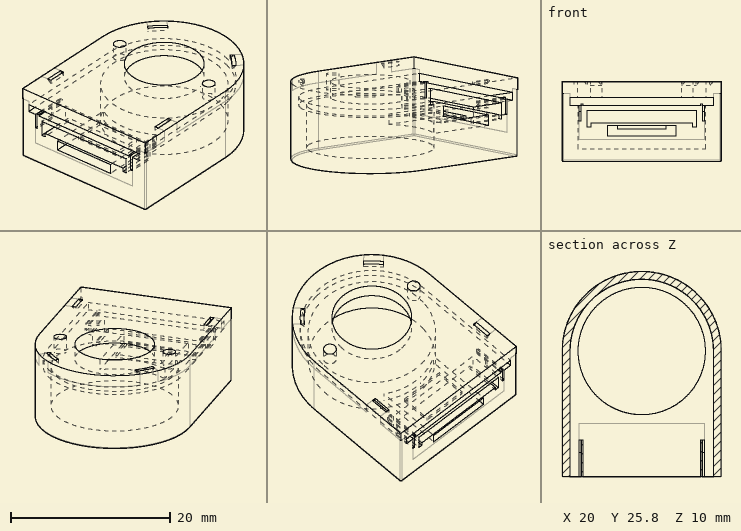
import cadquery as cq

LENGTH = 25.8
WIDTH = 20.0
HEIGHT = 10.0
END_RADIUS = WIDTH / 2
FRONT_Y = END_RADIUS - LENGTH
OVERSHOOT = 0.25

WALL = 1.0
EDGE_FILLET = 0.18
LID_THICKNESS = 1.5
BASE_TOP = HEIGHT - LID_THICKNESS
RECESS_DEPTH = 1.5
RECESS_FLOOR = BASE_TOP - RECESS_DEPTH
RECESS_RADIUS = END_RADIUS - WALL
CHAMBER_DIAMETER = 16.0
CHAMBER_FLOOR = 1.6

LIP_DEPTH = 0.5
LIP_BOTTOM = BASE_TOP - LIP_DEPTH
BORE_DIAMETER = 10.0
PIN_HOLE_DIAMETER = 1.6
PIN_HOLE_OFFSET = 7.25

LATCH_WIDTH = 2.5
LATCH_DEPTH = 1.5
LATCH_INNER = END_RADIUS - LATCH_DEPTH
RAMP_DROP = 0.5
RAMP_BOTTOM = HEIGHT - RAMP_DROP
SIDE_LATCH_Y = -10.8
ROUND_LATCH_ANGLES = (45, 135)
LATCH_SWEEP = 60

CONNECTOR_WIDTH = 15.75
CONNECTOR_BOTTOM = 2.79
CONNECTOR_DEPTH = 6.7
RIB_WIDTH = 0.25
RIB_HEIGHT = 0.18
SIDE_GAP = 0.25
SIDE_GAP_BOTTOM = 5.05
SIDE_GAP_STEP = 6.3
SIDE_GAP_DEPTH = 3.1
SIDE_GAP_STEP_DEPTH = 4.65

SLOT_WIDTH = 13.75
SLOT_BOTTOM = 4.82
SLOT_TOP = 6.4
SLOT_DEPTH = 4.65
END_GROOVE_WIDTH = 0.52
END_GROOVE_BOTTOM = 4.33

WINDOW_WIDTH = 8.62
WINDOW_BOTTOM = 3.2
WINDOW_TOP = 4.52
BLOCK_WIDTH = 6.06
BLOCK_HEIGHT = 0.4
BLOCK_SETBACK = 2.58


def d_plate(radius, bottom, top):
    """Plate with a round end of the given radius and a straight front."""
    return (
        cq.Workplane("XY", origin=(0, 0, bottom))
        .moveTo(-radius, FRONT_Y)
        .lineTo(radius, FRONT_Y)
        .lineTo(radius, 0)
        .threePointArc((0, radius), (-radius, 0))
        .close()
        .extrude(top - bottom)
    )


def cylinder(diameter, bottom, top, x=0):
    return cq.Workplane("XY", origin=(x, 0, bottom)).circle(diameter / 2).extrude(top - bottom)


def front_block(width, depth, bottom, top, x=0, setback=0):
    """Block centred on x that runs back from the front face."""
    block = cq.Workplane("XY").box(width, depth, top - bottom, centered=(True, False, False))
    return block.translate((x, FRONT_Y + setback, bottom))


def latch_solids(profile):
    """Sweep a radius-height profile into two round-end and two straight side latches."""
    z_axis = ((0, 0, 0), (0, 0, 1))
    straight = cq.Workplane("XZ").polyline(profile).close().extrude(LATCH_WIDTH / 2, both=True)
    strip = cq.Workplane("XY").box(WIDTH, LATCH_WIDTH, HEIGHT, centered=(False, True, False))
    ring = cq.Workplane("XZ").polyline(profile).close().revolve(LATCH_SWEEP, (0, 0), (0, 1))
    curved = ring.rotate(*z_axis, -LATCH_SWEEP / 2).intersect(strip)
    solids = [curved.rotate(*z_axis, angle) for angle in ROUND_LATCH_ANGLES]
    solids += [straight.rotate(*z_axis, angle).translate((0, SIDE_LATCH_Y, 0)) for angle in (0, 180)]
    return solids


def latch_notches():
    """Notches through the lid rim."""
    outer = END_RADIUS + OVERSHOOT
    return latch_solids(
        [(LATCH_INNER, LIP_BOTTOM), (outer, LIP_BOTTOM), (outer, HEIGHT), (LATCH_INNER, HEIGHT)]
    )


def latch_tabs():
    """Tabs that fill the notches, each with a ramp falling to its inner edge."""
    profile = [
        (LATCH_INNER, LIP_BOTTOM),
        (END_RADIUS, LIP_BOTTOM),
        (END_RADIUS, HEIGHT),
        (RECESS_RADIUS, HEIGHT),
        (LATCH_INNER, RAMP_BOTTOM),
    ]
    return latch_solids(profile)


def make_base():
    base = d_plate(END_RADIUS, 0, BASE_TOP)
    front_corners = base.edges("|Z").edges("<Y")
    bottom_rim = base.faces("<Z").edges()
    base = base.newObject(front_corners.vals() + bottom_rim.vals()).fillet(EDGE_FILLET)
    base = base.cut(d_plate(RECESS_RADIUS, RECESS_FLOOR, BASE_TOP))
    for tab in latch_tabs():
        base = base.union(tab)
    return base.cut(front_block(CONNECTOR_WIDTH, CONNECTOR_DEPTH, CONNECTOR_BOTTOM, RECESS_FLOOR))


def make_connector():
    body = front_block(CONNECTOR_WIDTH, CONNECTOR_DEPTH, CONNECTOR_BOTTOM, RECESS_FLOOR)
    body = body.cut(front_block(SLOT_WIDTH, SLOT_DEPTH, SLOT_BOTTOM, SLOT_TOP))
    groove_x = (SLOT_WIDTH - END_GROOVE_WIDTH) / 2
    gap_x = (CONNECTOR_WIDTH - SIDE_GAP) / 2
    rib_x = CONNECTOR_WIDTH / 2 - SIDE_GAP - RIB_WIDTH / 2
    for side in (-1, 1):
        groove = front_block(END_GROOVE_WIDTH, SLOT_DEPTH, END_GROOVE_BOTTOM, SLOT_BOTTOM, side * groove_x)
        gap = front_block(SIDE_GAP, SIDE_GAP_DEPTH, SIDE_GAP_BOTTOM, RECESS_FLOOR, side * gap_x)
        gap_step = front_block(SIDE_GAP, SIDE_GAP_STEP_DEPTH, SIDE_GAP_STEP, RECESS_FLOOR, side * gap_x)
        rib = front_block(
            RIB_WIDTH, SIDE_GAP_STEP_DEPTH, RECESS_FLOOR, RECESS_FLOOR + RIB_HEIGHT, side * rib_x
        )
        body = body.cut(groove).cut(gap).cut(gap_step).union(rib)
    return body


def make_window():
    """Lower slot from the front face to the chamber, less the block under its roof."""
    window = front_block(WINDOW_WIDTH, -FRONT_Y, WINDOW_BOTTOM, WINDOW_TOP)
    block = front_block(
        BLOCK_WIDTH, CONNECTOR_DEPTH - BLOCK_SETBACK, WINDOW_TOP - BLOCK_HEIGHT, WINDOW_TOP,
        setback=BLOCK_SETBACK,
    )
    return window.cut(block)


def make_lid():
    lid = d_plate(END_RADIUS, BASE_TOP, HEIGHT).union(d_plate(RECESS_RADIUS, LIP_BOTTOM, BASE_TOP))
    lid = lid.cut(cylinder(BORE_DIAMETER, LIP_BOTTOM, HEIGHT))
    for x in (-PIN_HOLE_OFFSET, PIN_HOLE_OFFSET):
        lid = lid.cut(cylinder(PIN_HOLE_DIAMETER, LIP_BOTTOM, HEIGHT, x))
    for notch in latch_notches():
        lid = lid.cut(notch)
    return lid


result = make_base().union(make_connector(), clean=False)
result = result.cut(cylinder(CHAMBER_DIAMETER, CHAMBER_FLOOR, RECESS_FLOOR), clean=False)
result = result.cut(make_window(), clean=False)
result = result.union(make_lid(), clean=False)